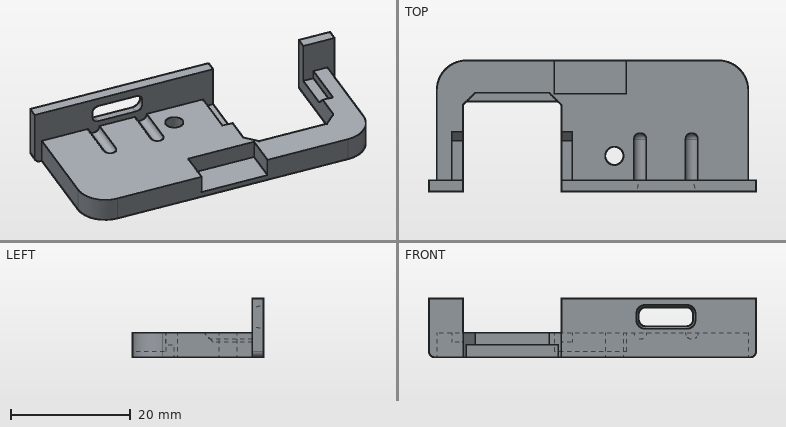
import cadquery as cq

plate_width = 52.0
plate_height = 4.15
plate_corner_radius = 5.0
overall_depth = 21.9

flange_width = 54.6
flange_thickness = 1.9
flange_height = 9.85
flange_corner_radius = 1.0
flange_overhang = (flange_width - plate_width) / 2

opening_left = 5.7
opening_width = 16.4
opening_right = opening_left + opening_width
opening_depth = 16.45
opening_chamfer = 2.0
ledge_front = 15.0
ledge_height = 2.15

notch_width = 1.85
notch_depth = 1.5
notch_back = 10.0

recess_left = 20.95
recess_width = 12.0
recess_length = 5.6
recess_floor = 1.0

hole_diameter = 3.0
hole_x = 30.95
hole_y = 5.95

groove_radius = 1.05
groove_straight_end = 8.7
groove_spacing = 8.6

window_width = 9.9
window_height = 4.0
window_corner_radius = 1.5
window_inset = 0.45
window_center_x = 39.55
window_center_z = 6.78


def box(x_min, y_min, z_min, x_size, y_size, z_size):
    """Box given by its lowest corner and its sizes."""
    return cq.Workplane("XY").box(x_size, y_size, z_size, centered=False).translate((x_min, y_min, z_min))


def make_plate():
    plate = box(flange_overhang, 0, 0, plate_width, overall_depth, plate_height)
    return plate.edges("|Z and >Y").fillet(plate_corner_radius)


def make_flange():
    flange = box(0, 0, 0, flange_width, flange_thickness, flange_height)
    return flange.edges("|Y and <Z").fillet(flange_corner_radius)


def make_opening():
    """Opening with chamfered inner corners, less the low ledge along its back."""
    opening = box(opening_left, 0, 0, opening_width, opening_depth, flange_height)
    opening = opening.edges("|Z and >Y").chamfer(opening_chamfer)
    ledge = box(opening_left, ledge_front, 0, opening_width, opening_depth - ledge_front, ledge_height)
    return opening.cut(ledge)


def make_notch(x_min):
    """Notch behind the flange whose back end slopes up at 45 degrees."""
    floor = plate_height - notch_depth
    profile = [
        (flange_thickness, floor),
        (notch_back - notch_depth, floor),
        (notch_back, plate_height),
        (flange_thickness, plate_height),
    ]
    return cq.Workplane("YZ").polyline(profile).close().extrude(notch_width).translate((x_min, 0, 0))


def make_recess():
    front = overall_depth - recess_length
    return box(recess_left, front, recess_floor, recess_width, recess_length, plate_height - recess_floor)


def make_hole():
    return cq.Workplane("XY").center(hole_x, hole_y).circle(hole_diameter / 2).extrude(plate_height)


def make_groove(x_center):
    """Half-round groove along Y with a spherical end."""
    length = groove_straight_end - flange_thickness
    channel = cq.Workplane("XZ").circle(groove_radius).extrude(-length)
    end = cq.Workplane("XY").sphere(groove_radius).translate((0, length, 0))
    return channel.union(end).translate((x_center, flange_thickness, plate_height))


def window_outline(inset):
    width = window_width - 2 * inset
    height = window_height - 2 * inset
    return cq.Sketch().rect(width, height).vertices().fillet(window_corner_radius - inset)


def make_window():
    """Rounded window that narrows from the front face to the back face of the flange."""
    front = window_outline(0)
    back = window_outline(window_inset).moved(cq.Location(cq.Vector(0, 0, -flange_thickness)))
    window = cq.Workplane("XZ").placeSketch(front, back).loft()
    return window.translate((window_center_x, 0, window_center_z))


result = make_plate().union(make_flange())
result = result.cut(make_opening())
for notch_left in (opening_left - notch_width, opening_right):
    result = result.cut(make_notch(notch_left))
result = result.cut(make_recess())
result = result.cut(make_hole())
for side in (-1, 1):
    result = result.cut(make_groove(window_center_x + side * groove_spacing / 2))
result = result.cut(make_window())